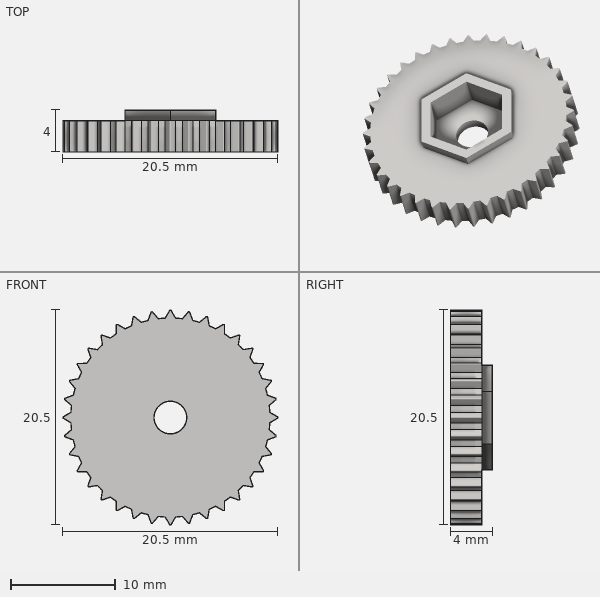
import cadquery as cq
import math

outer_diameter = 20.48
root_diameter = 19.0
tooth_count = 36
tooth_tip_width = 0.172
tooth_tip_rise = 0.047
tooth_root_width = 1.0
gear_width = 3.0

hub_height = 1.0
hub_across_corners = 10.0
bore_diameter = 3.1
bore_depth = 1.0
pocket_across_corners = 8.0
hexagon_turn = 30

tip_radius = outer_diameter / 2
flank_radius = tip_radius - tooth_tip_rise
root_radius = root_diameter / 2
tooth_pitch = 2 * math.pi / tooth_count
tip_half_angle = math.asin(tooth_tip_width / 2 / flank_radius)
root_half_angle = math.asin(tooth_root_width / 2 / root_radius)
total_width = gear_width + hub_height


def polar_point(radius, angle):
    return (radius * math.cos(angle), radius * math.sin(angle))


def gear_blank():
    """Toothed disc: straight flanks, rounded tips and root lands on the root circle."""
    outline = cq.Workplane("XZ").moveTo(*polar_point(root_radius, -root_half_angle))
    for tooth in range(tooth_count):
        center = tooth * tooth_pitch
        next_center = center + tooth_pitch
        outline = outline.lineTo(*polar_point(flank_radius, center - tip_half_angle))
        outline = outline.threePointArc(
            polar_point(tip_radius, center),
            polar_point(flank_radius, center + tip_half_angle),
        )
        outline = outline.lineTo(*polar_point(root_radius, center + root_half_angle))
        outline = outline.threePointArc(
            polar_point(root_radius, center + tooth_pitch / 2),
            polar_point(root_radius, next_center - root_half_angle),
        )
    return outline.close().extrude(-gear_width)


def hexagon_prism(across_corners, start, end):
    """Hexagonal prism along Y from start to end, with corners on the Z axis."""
    plane = cq.Workplane("XZ", origin=(0, start, 0)).transformed(rotate=(0, 0, hexagon_turn))
    return plane.polygon(6, across_corners).extrude(start - end)


hub = hexagon_prism(hub_across_corners, 0, total_width)
bore = cq.Workplane("XZ").circle(bore_diameter / 2).extrude(-bore_depth)
nut_pocket = hexagon_prism(pocket_across_corners, bore_depth, total_width)

result = gear_blank().union(hub).cut(bore).cut(nut_pocket)